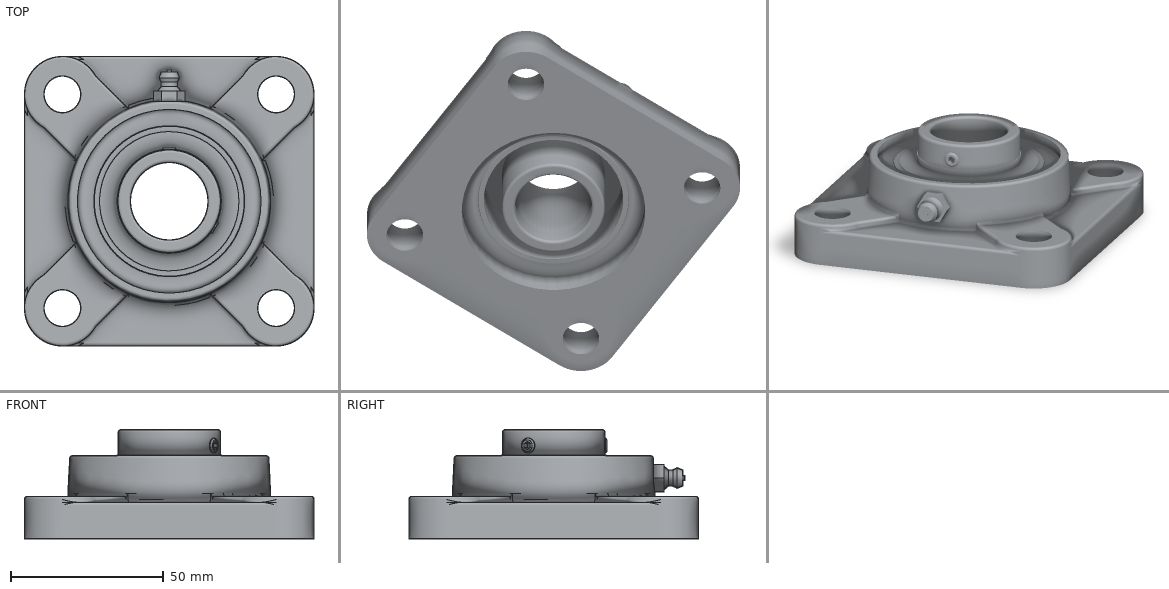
import cadquery as cq
import math

FLANGE_SIDE = 95.0
BOLT_SPACING = 70.1
BOLT_HOLE_DIAMETER = 12.0
PLATE_TOP = 12.0
ARM_TOP = 14.0
ARM_WIDTH = 23.9
EDGE_RADIUS = 0.95

DRUM_BASE_RADIUS = 33.25
DRUM_TOP_RADIUS = 32.7
DRUM_TOP = 27.3
RECESS_DIAMETER = 60.2
RECESS_FLOOR = 24.1

BEARING_CENTER_HEIGHT = 16.1
OUTER_RING_WIDTH = 17.0
OUTER_RING_SPHERE_DIAMETER = 52.1
OUTER_RING_BORE = 45.7
INNER_RING_DIAMETER = 33.6
INNER_RING_BORE = 25.4
INNER_RING_BOTTOM = 1.7
INNER_RING_TOP = 35.8

SHIELD_BOTTOM = 23.4
SHIELD_RIM_TOP = 24.8
SHIELD_COLLAR_BASE = 25.2
COLLAR_DIAMETER = 34.2
COLLAR_TOP = 27.5

SCREW_DIAMETER = 4.9
SCREW_HEIGHT = 30.6
SCREW_START = 12.35
SCREW_END = 17.5
SCREW_CHAMFER = 0.6
SCREW_ANGLES = (90, -30)
SOCKET_WIDTH = 2.3
SOCKET_DEPTH = 2.4

FITTING_HEIGHT = 19.95
HEX_START = 32.7
HEX_END = 36.2
HEX_WIDTH = 9.0
HEX_TURN = 30
CONE_BASE_DIAMETER = 7.6
NECK_DIAMETER = 5.3
NECK_START = 37.6
NECK_END = 39.0
HEAD_DIAMETER = 6.7
HEAD_PEAK = 40.5
HEAD_END = 42.4
TIP_DIAMETER = 1.5
TIP_END = 43.0

BOLT_OFFSET = BOLT_SPACING / 2
BOLT_REACH = math.hypot(BOLT_OFFSET, BOLT_OFFSET)
CORNER_RADIUS = FLANGE_SIDE / 2 - BOLT_OFFSET
CORNER_ANGLES = (45, 135, 225, 315)
SEAT_HALF_WIDTH = RECESS_FLOOR - BEARING_CENTER_HEIGHT
RECESS_BELOW_TOP = BEARING_CENTER_HEIGHT - SEAT_HALF_WIDTH


def cylinder(diameter, bottom, top):
    return cq.Workplane("XY").workplane(offset=bottom).circle(diameter / 2).extrude(top - bottom)


def turned(outline):
    """Turn an (r, z) outline drawn on the XZ plane around the Z axis."""
    return outline.close().revolve(360, (0, 0, 0), (0, 1, 0))


def bearing_ball():
    """Sphere shared by the outer ring and its seat in the housing."""
    return cq.Workplane("XY").sphere(OUTER_RING_SPHERE_DIAMETER / 2).translate((0, 0, BEARING_CENTER_HEIGHT))




def octagon_blank(height):
    """Square block with its corners cut off flat, inside the rounds of the arms."""
    blank = cq.Workplane("XY").box(FLANGE_SIDE, FLANGE_SIDE, height, centered=(True, True, False))
    return blank.edges("|Z").chamfer(CORNER_RADIUS)


def make_plate():
    return octagon_blank(PLATE_TOP).edges("(|X or |Y) and >Z").fillet(EDGE_RADIUS)


def arm_blank(bottom, top):
    """Arm along +X from the drum center to a rounded end around the bolt hole."""
    half_width = ARM_WIDTH / 2
    straight_end = BOLT_REACH - math.sqrt(CORNER_RADIUS**2 - half_width**2)
    return (
        cq.Workplane("XY")
        .workplane(offset=bottom)
        .moveTo(0, -half_width)
        .lineTo(straight_end, -half_width)
        .threePointArc((BOLT_REACH + CORNER_RADIUS, 0), (straight_end, half_width))
        .lineTo(0, half_width)
        .close()
        .extrude(top - bottom)
    )


def rounded_arm(top):
    return arm_blank(0, top).faces(">Z").edges("not <X").fillet(EDGE_RADIUS)


def arm_foot():
    """Concave round along the foot of an arm: the gap left by a mold with rounded lower edges."""
    block = (
        cq.Workplane("XY")
        .workplane(offset=PLATE_TOP)
        .rect(2 * FLANGE_SIDE, FLANGE_SIDE)
        .extrude(ARM_TOP - PLATE_TOP)
    )
    arm = arm_blank(PLATE_TOP, ARM_TOP)
    mold = block.cut(arm)
    arm_outline = mold.faces("<Z").val().innerWires()[0]
    mold = mold.newObject(arm_outline.Edges()).fillet(EDGE_RADIUS)
    return block.cut(mold).cut(arm)


def drum_foot(level):
    """Concave round where the drum rises from a flat face at the given height."""
    foot_radius = DRUM_BASE_RADIUS + EDGE_RADIUS
    arc_offset = EDGE_RADIUS * (1 - math.sqrt(0.5))
    return turned(
        cq.Workplane("XZ")
        .lineTo(foot_radius, 0)
        .lineTo(foot_radius, level)
        .threePointArc(
            (DRUM_BASE_RADIUS + arc_offset, level + arc_offset),
            (DRUM_BASE_RADIUS, level + EDGE_RADIUS),
        )
        .lineTo(0, level + EDGE_RADIUS)
    )


def make_drum():
    drum = turned(
        cq.Workplane("XZ")
        .lineTo(DRUM_BASE_RADIUS, 0)
        .lineTo(DRUM_BASE_RADIUS, ARM_TOP + EDGE_RADIUS)
        .lineTo(DRUM_TOP_RADIUS, DRUM_TOP)
        .lineTo(0, DRUM_TOP)
    )
    return drum.faces(">Z").edges().fillet(EDGE_RADIUS)


def make_corner(angle):
    """One arm with its concave rounds, turned toward a corner of the flange."""
    drum_foot_on_arm = drum_foot(ARM_TOP).intersect(rounded_arm(ARM_TOP + EDGE_RADIUS))
    arm = rounded_arm(ARM_TOP).union(drum_foot_on_arm).rotate((0, 0, 0), (0, 0, 1), angle)
    foot = arm_foot().rotate((0, 0, 0), (0, 0, 1), angle)
    return arm.union(foot.intersect(octagon_blank(ARM_TOP)))


def make_housing(fitting):
    housing = make_plate()
    for angle in CORNER_ANGLES:
        housing = housing.union(make_corner(angle))
    housing = housing.union(drum_foot(PLATE_TOP)).union(make_drum())
    housing = housing.cut(cylinder(RECESS_DIAMETER, RECESS_FLOOR, DRUM_TOP))
    housing = housing.cut(cylinder(RECESS_DIAMETER, 0, RECESS_BELOW_TOP))
    housing = housing.cut(bearing_ball())
    bolt_holes = (
        cq.Workplane("XY")
        .rect(BOLT_SPACING, BOLT_SPACING, forConstruction=True)
        .vertices()
        .circle(BOLT_HOLE_DIAMETER / 2)
        .extrude(DRUM_TOP)
    )
    return housing.cut(bolt_holes).cut(fitting)




def make_outer_ring():
    half_width = OUTER_RING_WIDTH / 2
    slab = cylinder(
        OUTER_RING_SPHERE_DIAMETER,
        BEARING_CENTER_HEIGHT - half_width,
        BEARING_CENTER_HEIGHT + half_width,
    )
    return bearing_ball().intersect(slab).cut(cylinder(OUTER_RING_BORE, 0, INNER_RING_TOP))


def make_inner_ring():
    ring = cylinder(INNER_RING_DIAMETER, INNER_RING_BOTTOM, INNER_RING_TOP)
    ring = ring.cut(cylinder(INNER_RING_BORE, INNER_RING_BOTTOM, INNER_RING_TOP))
    ring = ring.faces("<Z or >Z").edges().fillet(EDGE_RADIUS)
    for angle in SCREW_ANGLES:
        ring = ring.cut(screw_blank(angle))
    return ring


def make_shield():
    inner_radius = INNER_RING_DIAMETER / 2
    outer_radius = OUTER_RING_BORE / 2
    collar_radius = COLLAR_DIAMETER / 2
    return turned(
        cq.Workplane("XZ")
        .moveTo(inner_radius, SHIELD_BOTTOM)
        .lineTo(outer_radius, SHIELD_BOTTOM)
        .lineTo(outer_radius, SHIELD_RIM_TOP)
        .lineTo(collar_radius, SHIELD_COLLAR_BASE)
        .lineTo(collar_radius, COLLAR_TOP)
        .lineTo(inner_radius, COLLAR_TOP)
    )


def screw_blank(angle):
    """Plain rod of a set screw, pointing outward from the shaft axis."""
    rod = (
        cq.Workplane("YZ")
        .workplane(offset=SCREW_START)
        .center(0, SCREW_HEIGHT)
        .circle(SCREW_DIAMETER / 2)
        .extrude(SCREW_END - SCREW_START)
    )
    rod = rod.cut(cylinder(INNER_RING_BORE, 0, INNER_RING_TOP))
    return rod.rotate((0, 0, 0), (0, 0, 1), angle)


def make_set_screw(angle):
    socket = (
        cq.Workplane("YZ")
        .workplane(offset=SCREW_END - SOCKET_DEPTH)
        .center(0, SCREW_HEIGHT)
        .polygon(6, SOCKET_WIDTH, circumscribed=True)
        .extrude(SOCKET_DEPTH)
    )
    return screw_blank(0).faces(">X").chamfer(SCREW_CHAMFER).cut(socket).rotate((0, 0, 0), (0, 0, 1), angle)




def make_fitting():
    """Hexagon and turned nipple, built along +Z and then laid over to point along +Y."""
    hexagon = (
        cq.Workplane("XY")
        .workplane(offset=HEX_START)
        .polygon(6, HEX_WIDTH, circumscribed=True)
        .extrude(HEX_END - HEX_START)
        .rotate((0, 0, 0), (0, 0, 1), HEX_TURN)
    )
    nipple = turned(
        cq.Workplane("XZ")
        .moveTo(0, HEX_START)
        .lineTo(CONE_BASE_DIAMETER / 2, HEX_START)
        .lineTo(CONE_BASE_DIAMETER / 2, HEX_END)
        .lineTo(NECK_DIAMETER / 2, NECK_START)
        .lineTo(NECK_DIAMETER / 2, NECK_END)
        .lineTo(HEAD_DIAMETER / 2, HEAD_PEAK)
        .lineTo(NECK_DIAMETER / 2, HEAD_END)
        .lineTo(TIP_DIAMETER / 2, HEAD_END)
        .lineTo(TIP_DIAMETER / 2, TIP_END)
        .lineTo(0, TIP_END)
    )
    fitting = hexagon.union(nipple).rotate((0, 0, 0), (1, 0, 0), -90)
    return fitting.translate((0, 0, FITTING_HEIGHT))


fitting = make_fitting()
housing = make_housing(fitting)
outer_ring = make_outer_ring()
inner_ring = make_inner_ring()
shield = make_shield()
set_screws = [make_set_screw(angle) for angle in SCREW_ANGLES]

result = cq.Compound.makeCompound(
    [
        housing.val(),
        outer_ring.val(),
        inner_ring.val(),
        shield.val(),
        fitting.val(),
        *[screw.val() for screw in set_screws],
    ]
)